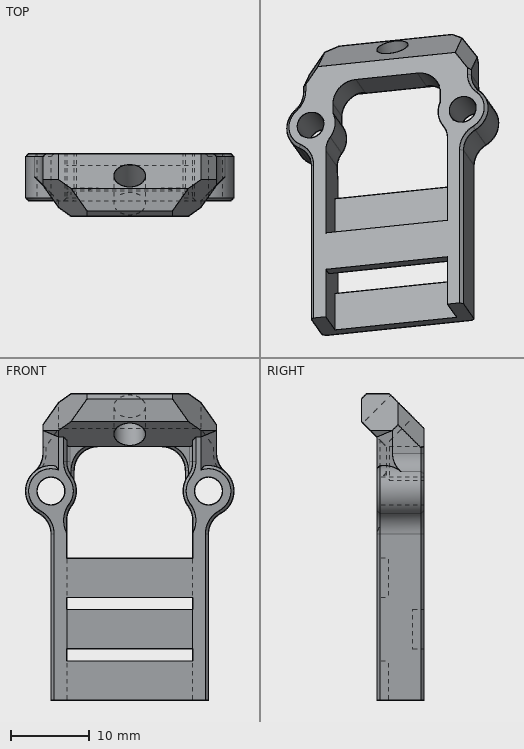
import cadquery as cq
import math


TOTAL_HEIGHT = 38.84
DEPTH = 6.0
LOWER_HALF_WIDTH = 9.975
UPPER_HALF_WIDTH = 11.0
RAIL_WIDTH = 2.0
INNER_HALF_WIDTH = LOWER_HALF_WIDTH - RAIL_WIDTH
EDGE_CHAMFER = 0.4
UPPER_FRONT_CHAMFER = 2.0

BOSS_X = LOWER_HALF_WIDTH
BOSS_Z = 26.5
BOSS_RADIUS = 3.23
BOSS_HOLE_DIAMETER = 3.5
BLEND_RADIUS = 3.0

BAR_HEIGHT = 5.0
BAR_THICKNESS = 1.5
LOW_FRONT_BAR_Z = 0.0
HIGH_FRONT_BAR_Z = 13.0
REAR_BAR_Z = 6.5

HEAD_OVERHANG = 1.95
HEAD_TILT = 45.0
HEAD_THICKNESS = 5.0
HEAD_BACK_DROP = 4.43
HEAD_LENGTH = 8.28
HEAD_CORNER_CHAMFER = 5.6
HEAD_SIDE_CHAMFER = 2.0
HEAD_HOLE_DIAMETER = 4.0
HEAD_HOLE_DISTANCE = 3.98

OPENING_DROP = 6.73
GUSSET_HALF_WIDTH = 7.03
GUSSET_CORNER_RADIUS = 3.0
GUSSET_FILLET = 0.4

CLEARANCE = 1.0

strip_half_width = UPPER_HALF_WIDTH - UPPER_FRONT_CHAMFER
head_back_z = TOTAL_HEIGHT - HEAD_BACK_DROP
opening_top = TOTAL_HEIGHT - OPENING_DROP
opening_bottom = HIGH_FRONT_BAR_Z + BAR_HEIGHT
gusset_front_y = DEPTH - (HEAD_BACK_DROP + HEAD_THICKNESS * math.sqrt(2) - OPENING_DROP)


def block(half_width, y_min, y_max, z_min, z_max):
    """Box centred on X = 0."""
    box = cq.Workplane("XY").box(
        2 * half_width, y_max - y_min, z_max - z_min, centered=(True, False, False)
    )
    return box.translate((0, y_min, z_min))


def extrude_y(sketch, y_min, y_max):
    """Extrude a closed outline on the XZ plane from y_min to y_max."""
    return sketch.extrude(y_min - y_max).translate((0, y_min, 0))


def blend_rise(wall_distance):
    """Height between a boss centre and the centre of the arc blending it into a vertical wall."""
    return math.sqrt((BOSS_RADIUS + BLEND_RADIUS) ** 2 - (wall_distance + BLEND_RADIUS) ** 2)


def lower_outline():
    """Closed outline of the lower rails, the bosses and the flat front strips of the upper rails."""
    share = BOSS_RADIUS / (BOSS_RADIUS + BLEND_RADIUS)
    rise = blend_rise(LOWER_HALF_WIDTH - BOSS_X)
    tangent_x = BOSS_X + share * (LOWER_HALF_WIDTH + BLEND_RADIUS - BOSS_X)
    strip_z = BOSS_Z + math.sqrt(BOSS_RADIUS**2 - (BOSS_X - strip_half_width) ** 2)
    return (
        cq.Workplane("XZ")
        .lineTo(LOWER_HALF_WIDTH, 0)
        .lineTo(LOWER_HALF_WIDTH, BOSS_Z - rise)
        .tangentArcPoint((tangent_x, BOSS_Z - share * rise), relative=False)
        .threePointArc((BOSS_X + BOSS_RADIUS, BOSS_Z), (strip_half_width, strip_z))
        .lineTo(strip_half_width, TOTAL_HEIGHT)
        .lineTo(0, TOTAL_HEIGHT)
        .mirrorY()
    )


def upper_outline():
    """Closed outline of the upper rails with the blends that run down onto the bosses."""
    share = BOSS_RADIUS / (BOSS_RADIUS + BLEND_RADIUS)
    rise = blend_rise(UPPER_HALF_WIDTH - BOSS_X)
    tangent_x = BOSS_X + share * (UPPER_HALF_WIDTH + BLEND_RADIUS - BOSS_X)
    return (
        cq.Workplane("XZ")
        .moveTo(0, TOTAL_HEIGHT)
        .lineTo(UPPER_HALF_WIDTH, TOTAL_HEIGHT)
        .lineTo(UPPER_HALF_WIDTH, BOSS_Z + rise)
        .tangentArcPoint((tangent_x, BOSS_Z + share * rise), relative=False)
        .lineTo(BOSS_X, BOSS_Z)
        .lineTo(0, BOSS_Z)
        .mirrorY()
    )


def opening_outline(growth):
    """Closed outline of the opening around the bosses, grown outwards by the given amount.

    The lower blend arcs carry on to their lowest point, inside the plain opening below.
    """
    share = (BOSS_RADIUS - growth) / (BOSS_RADIUS + BLEND_RADIUS)
    rise = blend_rise(BOSS_X - INNER_HALF_WIDTH)
    blend_x = INNER_HALF_WIDTH - BLEND_RADIUS
    wall_x = INNER_HALF_WIDTH + growth
    tangent_x = BOSS_X + share * (blend_x - BOSS_X)
    lowest_z = BOSS_Z - rise - BLEND_RADIUS - growth
    top_z = TOTAL_HEIGHT + CLEARANCE
    return (
        cq.Workplane("XZ")
        .moveTo(0, lowest_z)
        .lineTo(blend_x, lowest_z)
        .tangentArcPoint((tangent_x, BOSS_Z - share * rise), relative=False)
        .threePointArc((BOSS_X - BOSS_RADIUS + growth, BOSS_Z), (tangent_x, BOSS_Z + share * rise))
        .tangentArcPoint((wall_x, BOSS_Z + rise), relative=False)
        .lineTo(wall_x, top_z)
        .lineTo(0, top_z)
        .mirrorY()
    )


def frame_blank():
    """Solid frame plate with its outer edges chamfered."""
    lower = extrude_y(lower_outline(), 0, DEPTH)
    below_strips = cq.selectors.BoxSelector(
        (-UPPER_HALF_WIDTH - DEPTH, -CLEARANCE, CLEARANCE),
        (UPPER_HALF_WIDTH + DEPTH, CLEARANCE, BOSS_Z + BOSS_RADIUS),
    )
    lower = lower.edges(below_strips).chamfer(EDGE_CHAMFER)

    upper = extrude_y(upper_outline(), 0, DEPTH)
    for side in (-1, 1):
        corner = (
            cq.Workplane("XY")
            .moveTo(side * (strip_half_width - CLEARANCE), -CLEARANCE)
            .lineTo(side * (strip_half_width + DEPTH), -CLEARANCE)
            .lineTo(side * (strip_half_width + DEPTH), DEPTH)
            .close()
            .extrude(TOTAL_HEIGHT + CLEARANCE)
        )
        upper = upper.cut(corner)
    blank = lower.union(upper).clean()
    return blank.faces(">Y").edges("not(|X)").chamfer(EDGE_CHAMFER)


def upper_opening():
    """Cutter for the opening around the bosses, leaving the gusset plate at the back."""
    full_depth = extrude_y(opening_outline(0), -CLEARANCE, DEPTH + CLEARANCE)
    recess = extrude_y(opening_outline(0), -CLEARANCE, gusset_front_y)
    recess = recess.faces(">Y").edges().fillet(GUSSET_FILLET)
    front_chamfer = extrude_y(opening_outline(EDGE_CHAMFER), -CLEARANCE, EDGE_CHAMFER)
    front_chamfer = front_chamfer.faces(">Y").edges().chamfer(EDGE_CHAMFER)

    below_bosses = block(INNER_HALF_WIDTH, -CLEARANCE, DEPTH + CLEARANCE, 0, BOSS_Z)
    window = block(GUSSET_HALF_WIDTH, -CLEARANCE, DEPTH + CLEARANCE, opening_bottom, opening_top)
    window = window.edges("|Y and >Z").fillet(GUSSET_CORNER_RADIUS)
    window_chamfer = block(
        GUSSET_HALF_WIDTH + EDGE_CHAMFER,
        -CLEARANCE,
        gusset_front_y + EDGE_CHAMFER,
        opening_bottom,
        opening_top + EDGE_CHAMFER,
    )
    window_chamfer = window_chamfer.edges("|Y and >Z").fillet(GUSSET_CORNER_RADIUS + EDGE_CHAMFER)
    window_chamfer = window_chamfer.faces(">Y").edges().chamfer(EDGE_CHAMFER)

    through = full_depth.intersect(below_bosses.union(window).union(window_chamfer))
    return recess.union(through).union(front_chamfer)


def strap_openings():
    """Cutter between the lower rails that leaves the front and rear strap bars."""
    top_z = BOSS_Z - blend_rise(BOSS_X - INNER_HALF_WIDTH)
    cutter = block(INNER_HALF_WIDTH, -CLEARANCE, DEPTH + CLEARANCE, -CLEARANCE, top_z)
    for bar_z in (LOW_FRONT_BAR_Z, HIGH_FRONT_BAR_Z):
        cutter = cutter.cut(block(INNER_HALF_WIDTH, 0, BAR_THICKNESS, bar_z, bar_z + BAR_HEIGHT))
    rear_bar = block(INNER_HALF_WIDTH, DEPTH - BAR_THICKNESS, DEPTH, REAR_BAR_Z, REAR_BAR_Z + BAR_HEIGHT)
    return cutter.cut(rear_bar)


def head_prism(thickness):
    """Sloping slab with the head outline, long side edges chamfered, running far down the slope."""
    shoulder = HEAD_LENGTH - HEAD_CORNER_CHAMFER
    top_half_width = UPPER_HALF_WIDTH - HEAD_CORNER_CHAMFER
    outline = [
        (UPPER_HALF_WIDTH, -TOTAL_HEIGHT),
        (UPPER_HALF_WIDTH, shoulder),
        (top_half_width, HEAD_LENGTH),
        (-top_half_width, HEAD_LENGTH),
        (-UPPER_HALF_WIDTH, shoulder),
        (-UPPER_HALF_WIDTH, -TOTAL_HEIGHT),
    ]
    section = (
        cq.Workplane("XY")
        .rect(2 * UPPER_HALF_WIDTH, thickness)
        .extrude(2 * TOTAL_HEIGHT)
        .edges("|Z")
        .chamfer(HEAD_SIDE_CHAMFER)
    )
    plate = cq.Workplane("XZ").polyline(outline).close().extrude(thickness / 2, both=True)
    slab = plate.intersect(section.translate((0, 0, -TOTAL_HEIGHT)))
    slab = slab.translate((0, -thickness / 2, 0))
    slab = slab.rotate((0, 0, 0), (1, 0, 0), HEAD_TILT)
    return slab.translate((0, DEPTH, head_back_z))


def head():
    """Sloping head, squared off by the top, the front and the top of the opening."""
    limits = block(UPPER_HALF_WIDTH, -HEAD_OVERHANG, DEPTH, opening_top, TOTAL_HEIGHT)
    return head_prism(HEAD_THICKNESS).intersect(limits)


def rail_top_trim():
    """Cutter that ends the upper rails on the back and end faces of the head."""
    rail_tops = block(
        UPPER_HALF_WIDTH + CLEARANCE,
        -CLEARANCE,
        DEPTH + CLEARANCE,
        BOSS_Z + blend_rise(UPPER_HALF_WIDTH - BOSS_X),
        TOTAL_HEIGHT + CLEARANCE,
    )
    return rail_tops.cut(head_prism(TOTAL_HEIGHT))


def head_hole():
    """Cutter for the hole straight through the thickness of the head."""
    drill = cq.Workplane("XZ").center(0, HEAD_HOLE_DISTANCE).circle(HEAD_HOLE_DIAMETER / 2)
    drill = extrude_y(drill, -HEAD_THICKNESS - CLEARANCE, CLEARANCE)
    drill = drill.rotate((0, 0, 0), (1, 0, 0), HEAD_TILT)
    return drill.translate((0, DEPTH, head_back_z))


def boss_holes():
    """Cutters for the through holes in the bosses."""
    centres = [(-BOSS_X, BOSS_Z), (BOSS_X, BOSS_Z)]
    holes = cq.Workplane("XZ").pushPoints(centres).circle(BOSS_HOLE_DIAMETER / 2)
    return extrude_y(holes, -CLEARANCE, DEPTH + CLEARANCE)


frame = frame_blank().cut(upper_opening()).cut(strap_openings()).cut(rail_top_trim())
result = frame.union(head()).cut(head_hole()).cut(boss_holes()).clean()